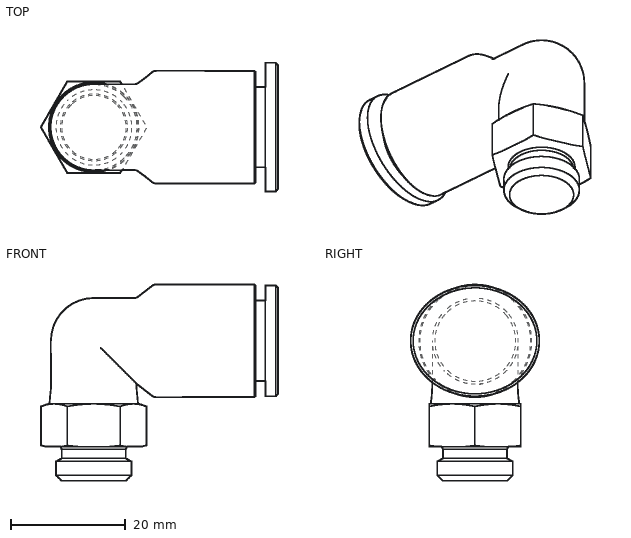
import cadquery as cq


ELBOW_RADIUS = 7.5
SKIRT_START_DEPTH = 8.3
SKIRT_RADIUS = 7.75

HEX_ACROSS_FLATS = 16.0
HEX_TOP_DEPTH = 10.95
HEX_HEIGHT = 7.5
HEX_TOP_BEVEL_RADIUS = 7.85
HEX_TOP_BEVEL_DROP = 0.5
HEX_BOTTOM_BEVEL_RISE = 0.2
HEX_BOTTOM_BEVEL_WIDTH = 0.8
STEM_LENGTH = 6.0
THREAD_RADIUS = 6.6
THREAD_TIP_CHAMFER = 1.0
GROOVE_RADIUS = 5.6
GROOVE_SHOULDER_RADIUS = 5.85
GROOVE_SHOULDER_HEIGHT = 0.5
GROOVE_FLOOR_END = 2.05
THREAD_START = 2.6

SOCKET_RADIUS = 9.85
CONE_START_X = 7.45
CONE_END_X = 10.5
CONE_EDGE_ROUND = 1.0
SOCKET_END_X = 28.25
SOCKET_END_CHAMFER = 0.2

COLLAR_NECK_RADIUS = 7.05
COLLAR_START_X = 29.95
PART_LENGTH = 41.44
COLLAR_WIDTH = 22.5
COLLAR_HEIGHT = 19.4
COLLAR_CHAMFER = 0.45

HEX_ACROSS_CORNERS = 2 * HEX_ACROSS_FLATS / 3**0.5
HEX_CORNER_RADIUS = HEX_ACROSS_CORNERS / 2
HEX_BOTTOM_DEPTH = HEX_TOP_DEPTH + HEX_HEIGHT
STEM_END_DEPTH = HEX_BOTTOM_DEPTH + STEM_LENGTH
COLLAR_END_X = PART_LENGTH - HEX_CORNER_RADIUS


def revolve_about_z(profile):
    """Turn a closed (radius, z) outline about the Z axis."""
    return cq.Workplane("XZ").polyline(profile).close().revolve(360, (0, 0), (0, 1))


def mitred_elbow():
    """Two equal round legs meeting at a mitre, with a spherical outer corner."""
    corner = cq.Workplane("XY").sphere(ELBOW_RADIUS)
    upright = cq.Workplane("XY").circle(ELBOW_RADIUS).extrude(-SKIRT_START_DEPTH)
    sideways = cq.Workplane("YZ").circle(ELBOW_RADIUS).extrude(CONE_START_X)
    return upright.union(sideways).union(corner)


def skirt():
    """Slightly flared length between the elbow and the hexagon."""
    return revolve_about_z([
        (0, -SKIRT_START_DEPTH),
        (ELBOW_RADIUS, -SKIRT_START_DEPTH),
        (SKIRT_RADIUS, -HEX_TOP_DEPTH),
        (0, -HEX_TOP_DEPTH),
    ])


def hexagon():
    """Hexagon with corners on the X axis, its corners bevelled by a turned outline."""
    prism = (
        cq.Workplane("XY", origin=(0, 0, -HEX_BOTTOM_DEPTH))
        .polygon(6, HEX_ACROSS_CORNERS)
        .extrude(HEX_HEIGHT)
    )
    bevel_envelope = revolve_about_z([
        (0, -HEX_TOP_DEPTH),
        (HEX_TOP_BEVEL_RADIUS, -HEX_TOP_DEPTH),
        (HEX_CORNER_RADIUS, -HEX_TOP_DEPTH - HEX_TOP_BEVEL_DROP),
        (HEX_CORNER_RADIUS, -HEX_BOTTOM_DEPTH + HEX_BOTTOM_BEVEL_RISE),
        (HEX_CORNER_RADIUS - HEX_BOTTOM_BEVEL_WIDTH, -HEX_BOTTOM_DEPTH),
        (0, -HEX_BOTTOM_DEPTH),
    ])
    return prism.intersect(bevel_envelope)


def threaded_stem():
    """Plain thread cylinder below an undercut groove, chamfered at the tip."""
    return revolve_about_z([
        (0, -HEX_BOTTOM_DEPTH),
        (GROOVE_SHOULDER_RADIUS, -HEX_BOTTOM_DEPTH),
        (GROOVE_RADIUS, -HEX_BOTTOM_DEPTH - GROOVE_SHOULDER_HEIGHT),
        (GROOVE_RADIUS, -HEX_BOTTOM_DEPTH - GROOVE_FLOOR_END),
        (THREAD_RADIUS, -HEX_BOTTOM_DEPTH - THREAD_START),
        (THREAD_RADIUS, -STEM_END_DEPTH + THREAD_TIP_CHAMFER),
        (THREAD_RADIUS - THREAD_TIP_CHAMFER, -STEM_END_DEPTH),
        (0, -STEM_END_DEPTH),
    ])


def tube_socket():
    """Large socket barrel joined to the elbow leg by a cone with rounded edges."""
    outline = [
        (0, 0),
        (0, ELBOW_RADIUS),
        (CONE_START_X, ELBOW_RADIUS),
        (CONE_END_X, SOCKET_RADIUS),
        (SOCKET_END_X - SOCKET_END_CHAMFER, SOCKET_RADIUS),
        (SOCKET_END_X, SOCKET_RADIUS - SOCKET_END_CHAMFER),
        (SOCKET_END_X, 0),
    ]
    barrel = cq.Workplane("XZ").polyline(outline).close().revolve(360, (0, 0), (1, 0))
    cone_edges = cq.selectors.BoxSelector(
        (CONE_START_X - CONE_EDGE_ROUND, -SOCKET_RADIUS, -SOCKET_RADIUS),
        (CONE_END_X + CONE_EDGE_ROUND, SOCKET_RADIUS, SOCKET_RADIUS),
    )
    rounded = barrel.edges("%CIRCLE").edges(cone_edges).fillet(CONE_EDGE_ROUND)
    mitre_side = (
        cq.Workplane("XZ", origin=(0, SOCKET_RADIUS, 0))
        .polyline([
            (0, 0),
            (SOCKET_RADIUS, -SOCKET_RADIUS),
            (SOCKET_END_X, -SOCKET_RADIUS),
            (SOCKET_END_X, SOCKET_RADIUS),
            (0, SOCKET_RADIUS),
        ])
        .close()
        .extrude(2 * SOCKET_RADIUS)
    )
    return rounded.intersect(mitre_side)


def release_collar():
    """Round neck carrying an oval flange, wider along Y than along Z."""
    neck = (
        cq.Workplane("YZ", origin=(SOCKET_END_X, 0, 0))
        .circle(COLLAR_NECK_RADIUS)
        .extrude(COLLAR_START_X - SOCKET_END_X)
    )
    flange = (
        cq.Workplane("YZ", origin=(COLLAR_START_X, 0, 0))
        .ellipse(COLLAR_WIDTH / 2, COLLAR_HEIGHT / 2)
        .extrude(COLLAR_END_X - COLLAR_START_X)
        .faces(">X")
        .chamfer(COLLAR_CHAMFER)
    )
    return neck.union(flange)


result = (
    mitred_elbow()
    .union(tube_socket())
    .union(skirt())
    .union(hexagon())
    .union(threaded_stem())
    .union(release_collar())
)